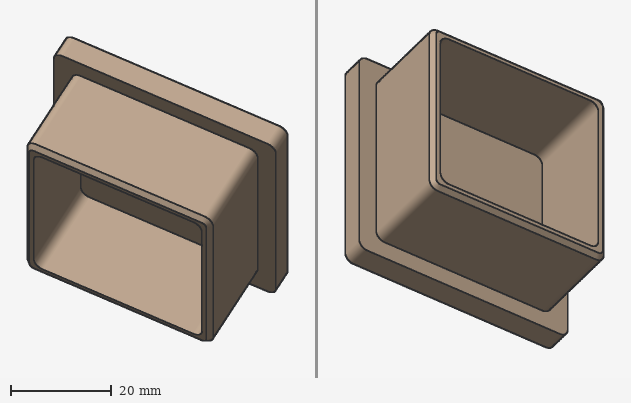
import cadquery as cq

corner_radius = 2.0

plate_side = 50.0
plate_thickness = 5.0

plug_side = 41.8
plug_length = 20.0
lead_in_chamfer = 1.0

wall_thickness = 2.0
cavity_side = plug_side - 2 * wall_thickness
cavity_depth = plug_length


def rounded_block(side, length, front_y):
    """Square block centred on the Y axis, running from front_y towards +Y, with rounded long edges."""
    return (
        cq.Workplane("XZ", origin=(0, front_y, 0))
        .rect(side, side)
        .extrude(-length)
        .edges("|Y")
        .fillet(corner_radius)
    )


plate = rounded_block(plate_side, plate_thickness, 0)

plug = rounded_block(plug_side, plug_length, -plug_length)
plug = plug.faces("<Y").chamfer(lead_in_chamfer)

cavity = rounded_block(cavity_side, cavity_depth, -plug_length)

result = plate.union(plug).cut(cavity)